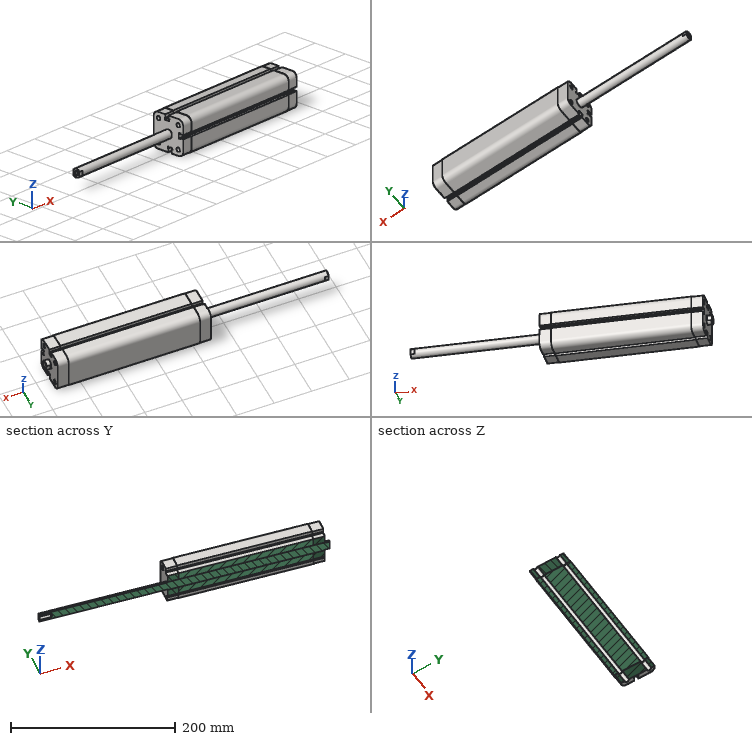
import cadquery as cq
import math

ROD_LENGTH = 376.5
FRONT_STICK_OUT = 165.5
REAR_STICK_OUT = 6.5
CAP_LENGTH = 14.5

TUBE_SIDE = 50.0
TUBE_CORNER_RADIUS = 8.5
CAP_SIDE = 49.0
CAP_CORNER_RADIUS = 7.5

SLOT_OFFSET = 2.45
SLOT_WIDTH = 5.5
SLOT_DEPTH = 8.0
SLOT_FLOOR_WIDTH = 7.0
SLOT_FLOOR_HEIGHT = 2.3
SLOT_ANGLES = (0, 90, 180)

SCREW_SPACING = 32.5
CAP_HOLE_DIAMETER = 5.5
TUBE_HOLE_DIAMETER = 5.0

ROD_DIAMETER = 12.0
FLAT_WIDTH = 10.0
FLAT_LENGTH = 5.3
REAR_CHAMFER = 0.55
THREAD_DIAMETER = 4.5
THREAD_DEPTH = 15.0
THREAD_MOUTH_DIAMETER = 6.0
DRILL_POINT_ANGLE = 118

FRONT_CAP_X = FRONT_STICK_OUT
TUBE_X = FRONT_CAP_X + CAP_LENGTH
REAR_CAP_X = ROD_LENGTH - REAR_STICK_OUT - CAP_LENGTH
TUBE_LENGTH = REAR_CAP_X - TUBE_X


def section_plane(x):
    """Plane across the axis at x: local x is +Y, local y is +Z, extrusion goes to +X."""
    return cq.Workplane("YZ", origin=(x, 0, 0))


def slot_cutter(x, length):
    """T-shaped sensor slot in the +Z side."""
    floor = TUBE_SIDE / 2 - SLOT_DEPTH
    mouth_centre = floor + SLOT_DEPTH / 2
    floor_centre = floor + SLOT_FLOOR_HEIGHT / 2
    mouth = (
        section_plane(x)
        .center(SLOT_OFFSET, mouth_centre)
        .rect(SLOT_WIDTH, SLOT_DEPTH)
        .extrude(length)
    )
    wide_part = (
        section_plane(x)
        .center(SLOT_OFFSET, floor_centre)
        .rect(SLOT_FLOOR_WIDTH, SLOT_FLOOR_HEIGHT)
        .extrude(length)
    )
    return mouth.union(wide_part)


def profile_block(x, length, side, corner_radius, hole_diameter):
    """Rounded square length of the cylinder with slots, screw holes and the rod bore."""
    block = section_plane(x).rect(side, side).extrude(length).edges("|X").fillet(corner_radius)
    screw_holes = (
        section_plane(x)
        .rect(SCREW_SPACING, SCREW_SPACING, forConstruction=True)
        .vertices()
        .circle(hole_diameter / 2)
        .extrude(length)
    )
    rod_bore = section_plane(x).circle(ROD_DIAMETER / 2).extrude(length)
    block = block.cut(screw_holes).cut(rod_bore)
    for angle in SLOT_ANGLES:
        block = block.cut(slot_cutter(x, length).rotate((0, 0, 0), (1, 0, 0), angle))
    return block


def wrench_flats(x):
    """Material beside the two flats, which face -Y and +Y."""
    blank_side = 2 * ROD_DIAMETER
    blank = section_plane(x).rect(blank_side, blank_side).extrude(FLAT_LENGTH)
    kept = section_plane(x).rect(FLAT_WIDTH, blank_side).extrude(FLAT_LENGTH)
    return blank.cut(kept)


def threaded_hole():
    """Countersunk blind hole with a drill point, in the front tip of the rod."""
    mouth_radius = THREAD_MOUTH_DIAMETER / 2
    radius = THREAD_DIAMETER / 2
    drill_point_length = radius / math.tan(math.radians(DRILL_POINT_ANGLE / 2))
    return (
        cq.Workplane("XY")
        .lineTo(0, mouth_radius)
        .lineTo(mouth_radius - radius, radius)
        .lineTo(THREAD_DEPTH, radius)
        .lineTo(THREAD_DEPTH + drill_point_length, 0)
        .close()
        .revolve(360, (0, 0, 0), (1, 0, 0))
    )


def make_rod():
    """Through rod with a threaded front tip, a chamfered rear end and wrench flats at both."""
    rod = section_plane(0).circle(ROD_DIAMETER / 2).extrude(ROD_LENGTH)
    rod = rod.faces(">X").chamfer(REAR_CHAMFER)
    for x in (0, ROD_LENGTH - FLAT_LENGTH):
        rod = rod.cut(wrench_flats(x))
    return rod.cut(threaded_hole())


tube = profile_block(TUBE_X, TUBE_LENGTH, TUBE_SIDE, TUBE_CORNER_RADIUS, TUBE_HOLE_DIAMETER)
caps = [
    profile_block(x, CAP_LENGTH, CAP_SIDE, CAP_CORNER_RADIUS, CAP_HOLE_DIAMETER)
    for x in (FRONT_CAP_X, REAR_CAP_X)
]
rod = make_rod()

result = cq.Compound.makeCompound([tube.val(), *[cap.val() for cap in caps], rod.val()])